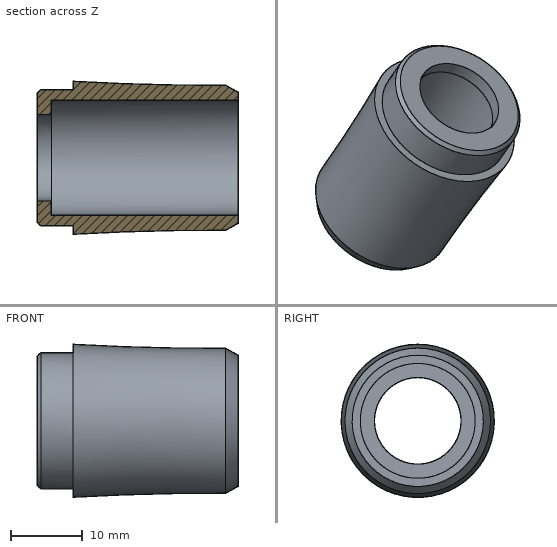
import cadquery as cq

total_length = 28.0
spigot_length = 5.0
nose_length = 1.8
nose_start = total_length - nose_length

spigot_diameter = 19.0
shoulder_diameter = 21.35
body_end_diameter = 20.25
nose_diameter = 18.25
bore_diameter = 16.0

spigot_chamfer = 0.5

lip_length = 2.0
lip_diameter = 12.0

flank_sag = 0.17
flank_middle_x = (spigot_length + nose_start) / 2
flank_middle_radius = (shoulder_diameter + body_end_diameter) / 4 - flank_sag


def make_sleeve():
    """Revolve the half section, drawn as (x, radius), around the X axis."""
    return (
        cq.Workplane("XZ")
        .moveTo(0, lip_diameter / 2)
        .lineTo(0, spigot_diameter / 2 - spigot_chamfer)
        .lineTo(spigot_chamfer, spigot_diameter / 2)
        .lineTo(spigot_length, spigot_diameter / 2)
        .lineTo(spigot_length, shoulder_diameter / 2)
        .threePointArc(
            (flank_middle_x, flank_middle_radius),
            (nose_start, body_end_diameter / 2),
        )
        .lineTo(total_length, nose_diameter / 2)
        .lineTo(total_length, bore_diameter / 2)
        .lineTo(lip_length, bore_diameter / 2)
        .lineTo(lip_length, lip_diameter / 2)
        .close()
        .revolve(360, (0, 0, 0), (1, 0, 0))
    )


result = make_sleeve()